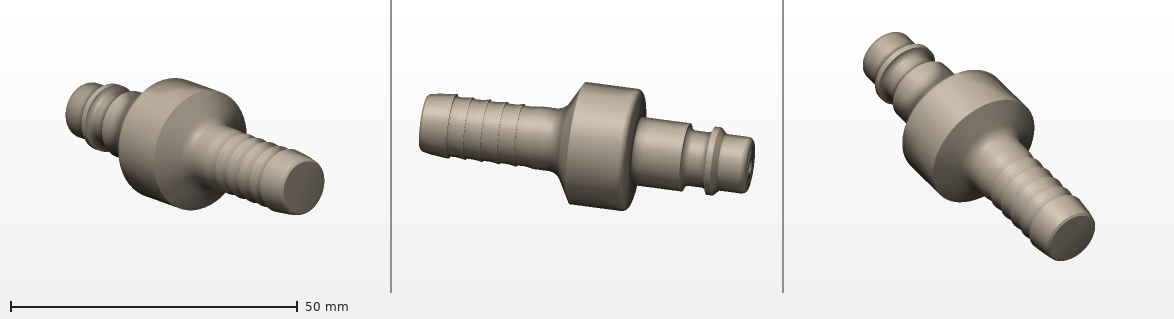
import cadquery as cq
import math

length = 58.0

plug_radius = 10.0 / 2
nose_fillet = 1.0
collar_radius = 12.0 / 2
collar_cone_start = 4.95
collar_cone_end = collar_cone_start + collar_radius - plug_radius
collar_end = 7.0
neck_radius = 9.75 / 2
neck_fillet = collar_radius - neck_radius
shank_start = 11.4

body_radius = 21.5 / 2
body_start = 20.0
body_face_angle = math.radians(7.5)
body_rim_x = body_start + (body_radius - collar_radius) * math.tan(body_face_angle)
body_rim_fillet = 1.05
body_end = 30.6
body_cone_angle = math.radians(60)

tail_radius = 11.0 / 2
tail_fillet = 2.8
root_radius = 10.5 / 2
first_taper_start = 37.95
barb_taper = 1.55
barb_pitch = 3.0
barb_count = 4
end_barb_start = 52.95
end_barb_radius = 11.35 / 2
end_barb_middle_radius = 10.95 / 2
end_radius = 10.1 / 2
end_chamfer = 0.35

valve_radius = 5.45 / 2
valve_seat_radius = 5.6 / 2
valve_seat_chamfer = 0.25
valve_gap_depth = 0.6
dimple_radius = 3.0 / 2
dimple_depth = 3.5
dimple_tip_angle = math.radians(118)


def arc_middle(center_x, center_r, radius, angle):
    """Point on a circle at the given angle in degrees."""
    turn = math.radians(angle)
    return (center_x + radius * math.cos(turn), center_r + radius * math.sin(turn))


def revolve_about_x(profile):
    return profile.close().revolve(360, (0, 0, 0), (1, 0, 0))


def plug_outline(profile):
    """Rounded nose, locking collar and the neck with concave corners."""
    return (
        profile.lineTo(0, plug_radius - nose_fillet)
        .threePointArc(
            arc_middle(nose_fillet, plug_radius - nose_fillet, nose_fillet, 135),
            (nose_fillet, plug_radius),
        )
        .lineTo(collar_cone_start, plug_radius)
        .lineTo(collar_cone_end, collar_radius)
        .lineTo(collar_end, collar_radius)
        .threePointArc(
            arc_middle(collar_end + neck_fillet, collar_radius, neck_fillet, 225),
            (collar_end + neck_fillet, neck_radius),
        )
        .lineTo(shank_start - neck_fillet, neck_radius)
        .threePointArc(
            arc_middle(shank_start - neck_fillet, collar_radius, neck_fillet, 315),
            (shank_start, collar_radius),
        )
        .lineTo(body_start, collar_radius)
    )


def body_outline(profile):
    """Slightly conical front face, rounded rim and rear cone blended into the tail."""
    rim_center_r = body_radius - body_rim_fillet
    rim_tangent = body_rim_fillet * math.tan((math.pi / 2 - body_face_angle) / 2)
    rim_center_x = body_rim_x + rim_tangent
    face_direction = 180 - math.degrees(body_face_angle)
    rim_start = arc_middle(rim_center_x, rim_center_r, body_rim_fillet, face_direction)
    rim_middle = arc_middle(rim_center_x, rim_center_r, body_rim_fillet, (face_direction + 90) / 2)

    cone_foot_x = body_end + (body_radius - tail_radius) / math.tan(body_cone_angle)
    blend_x = cone_foot_x + tail_fillet * math.tan(body_cone_angle / 2)
    blend_r = tail_radius + tail_fillet
    cone_direction = 270 - math.degrees(body_cone_angle)
    return (
        profile.lineTo(*rim_start)
        .threePointArc(rim_middle, (rim_center_x, body_radius))
        .lineTo(body_end, body_radius)
        .lineTo(*arc_middle(blend_x, blend_r, tail_fillet, cone_direction))
        .threePointArc(
            arc_middle(blend_x, blend_r, tail_fillet, (cone_direction + 270) / 2),
            (blend_x, tail_radius),
        )
    )


def tail_outline(profile):
    """Row of shallow barbs, then the larger rounded end barb."""
    profile = profile.lineTo(first_taper_start, tail_radius)
    for index in range(barb_count + 1):
        barb_x = first_taper_start + index * barb_pitch
        if index > 0:
            profile = profile.lineTo(barb_x, root_radius).lineTo(barb_x, tail_radius)
        profile = profile.lineTo(barb_x + barb_taper, root_radius)
    taper_end = length - end_chamfer
    return (
        profile.lineTo(end_barb_start, root_radius)
        .lineTo(end_barb_start, end_barb_radius)
        .threePointArc(
            ((end_barb_start + taper_end) / 2, end_barb_middle_radius),
            (taper_end, end_radius),
        )
        .lineTo(length, end_radius - end_chamfer)
        .lineTo(length, 0)
    )


def valve_gap():
    """Narrow ring-shaped gap around the valve face, with a chamfered outer edge."""
    return revolve_about_x(
        cq.Workplane("XY")
        .moveTo(0, valve_radius)
        .lineTo(0, valve_seat_radius + valve_seat_chamfer)
        .lineTo(valve_seat_chamfer, valve_seat_radius)
        .lineTo(valve_gap_depth, valve_seat_radius)
        .lineTo(valve_gap_depth, valve_radius)
    )


def valve_dimple():
    """Blind drilled hole with a conical bottom."""
    tip_x = dimple_depth + dimple_radius / math.tan(dimple_tip_angle / 2)
    return revolve_about_x(
        cq.Workplane("XY")
        .moveTo(0, 0)
        .lineTo(0, dimple_radius)
        .lineTo(dimple_depth, dimple_radius)
        .lineTo(tip_x, 0)
    )


outline = tail_outline(body_outline(plug_outline(cq.Workplane("XY").moveTo(0, 0))))
result = revolve_about_x(outline).cut(valve_gap()).cut(valve_dimple())